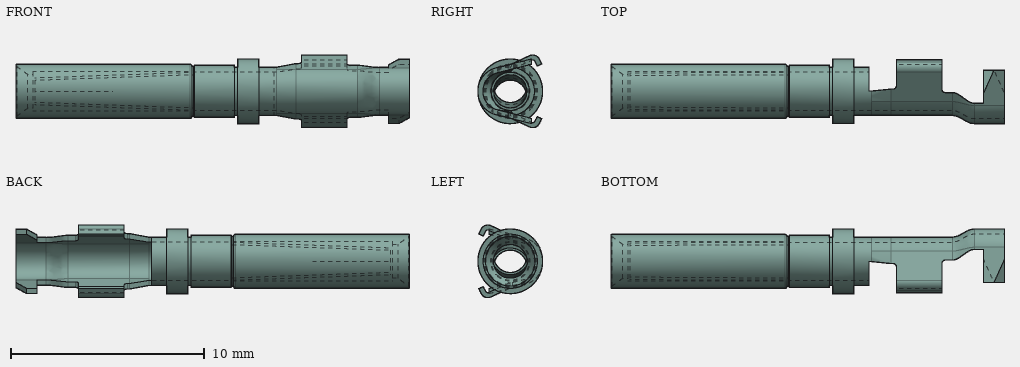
import cadquery as cq
import math

length = 20.3
sheet = 0.26

sleeve_radius = 2.8 / 2
sleeve_end = 9.07
sleeve_thickness = 0.12
sleeve_rear_round = 0.1
body_radius = 2.7 / 2
body_start = 9.15
body_chamfer = 0.06
body_end = 11.27
neck_radius = 2.5 / 2
flange_radius = 3.35 / 2
flange_start = 11.43
flange_end = 12.53
neck_end = 13.32

mouth_radius = sleeve_radius - sleeve_thickness
entry_radius = 0.87
entry_start = 0.6
entry_end = 0.87
cavity_radius = 1.02
tine_outer_radius = 0.97
tine_bore_radius = 0.85
tine_pinch = 0.28
tine_tip = 0.97
tine_root = sleeve_end
wire_bore_web = 0.1
tine_overrun = 0.2

flare_start = 13.44
flare_end = 14.43
wing_start = 14.72
wing_end = 17.07
bend_start = 17.6
bend_end = 18.74
claw_start = 19.2

wire_splay = 25.0
tail_splay = 14.0
tail_drop = flange_radius - neck_radius
flare_low_edge = 0.02
flare_high_edge = 0.12
rear_edge = -0.06
bend_steps = 4
tail_edge = -0.6
wing_root_round = 0.16

hook_start = 1.0
hook_radius = 0.39
hook_turn_end = 63.0
hook_lip = 0.28

claw_tip = 1.1
claw_taper_base = -0.12
claw_tip_width = 0.55


def polar(radius, angle):
    """Offset in (Y, Z) along a direction that leans `angle` degrees from +Z towards -Y."""
    a = math.radians(angle)
    return -radius * math.sin(a), radius * math.cos(a)


def shift(point, move):
    return point[0] + move[0], point[1] + move[1]


def mirror_z(point):
    return point[0], -point[1]


def wall_point(radius, splay, center_y, y):
    """Point at height y on the straight wall tangent to the trough arc."""
    tangent = shift((center_y, 0), polar(radius, splay))
    return y, tangent[1] + (y - tangent[0]) * math.tan(math.radians(splay))


def plane_at(x):
    """Section plane across the part: local axes are Y and Z."""
    return cq.Workplane("YZ", origin=(x, 0, 0))


def trough(workplane, splay, center_y, edge_y):
    """Closed U-shaped wall section: round bottom and two straight leaning walls."""
    inner_radius = neck_radius - sheet
    outer_tangent = shift((center_y, 0), polar(neck_radius, splay))
    inner_tangent = shift((center_y, 0), polar(inner_radius, splay))
    outer_edge = wall_point(neck_radius, splay, center_y, edge_y)
    inner_edge = wall_point(inner_radius, splay, center_y, edge_y)
    return (
        workplane.moveTo(*outer_edge)
        .lineTo(*outer_tangent)
        .threePointArc((center_y - neck_radius, 0), mirror_z(outer_tangent))
        .lineTo(*mirror_z(outer_edge))
        .lineTo(*mirror_z(inner_edge))
        .lineTo(*mirror_z(inner_tangent))
        .threePointArc((center_y - inner_radius, 0), inner_tangent)
        .lineTo(*inner_edge)
        .close()
    )


def round_trough(workplane, seam_angle, edge_y):
    """Part-ring section whose walls keep following the circle above the seams."""
    inner_radius = neck_radius - sheet
    outer_seam = polar(neck_radius, seam_angle)
    inner_seam = polar(inner_radius, seam_angle)
    outer_mid = polar(neck_radius, seam_angle / 2)
    inner_mid = polar(inner_radius, seam_angle / 2)
    outer_edge = edge_y, math.sqrt(neck_radius**2 - edge_y**2)
    inner_edge = edge_y, math.sqrt(inner_radius**2 - edge_y**2)
    return (
        workplane.moveTo(*outer_edge)
        .threePointArc(outer_mid, outer_seam)
        .threePointArc((-neck_radius, 0), mirror_z(outer_seam))
        .threePointArc(mirror_z(outer_mid), mirror_z(outer_edge))
        .lineTo(*mirror_z(inner_edge))
        .threePointArc(mirror_z(inner_mid), mirror_z(inner_seam))
        .threePointArc((-inner_radius, 0), inner_seam)
        .threePointArc(inner_mid, inner_edge)
        .close()
    )


def straight_trough(start, end, splay, center_y, edge_y):
    return trough(plane_at(start), splay, center_y, edge_y).extrude(end - start)


def socket_outside():
    lip_radius = sleeve_thickness / 2
    rear_bend = sleeve_rear_round * (1 - math.sqrt(0.5))
    rim_radius = sleeve_radius - sleeve_rear_round
    profile = (
        cq.Workplane("XY")
        .moveTo(lip_radius, 0)
        .lineTo(lip_radius, mouth_radius)
        .threePointArc((0, mouth_radius + lip_radius), (lip_radius, sleeve_radius))
        .lineTo(sleeve_end - sleeve_rear_round, sleeve_radius)
        .threePointArc((sleeve_end - rear_bend, sleeve_radius - rear_bend), (sleeve_end, rim_radius))
        .lineTo(body_start, body_radius - body_chamfer)
        .lineTo(body_start + body_chamfer, body_radius)
        .lineTo(body_end, body_radius)
        .lineTo(body_end, neck_radius)
        .lineTo(flange_start, neck_radius)
        .lineTo(flange_start, flange_radius)
        .lineTo(flange_end, flange_radius)
        .lineTo(flange_end, neck_radius)
        .lineTo(flare_start, neck_radius)
        .lineTo(flare_start, 0)
        .close()
    )
    return profile.revolve(360, (0, 0, 0), (1, 0, 0))


def entry_funnel():
    funnel_start = sleeve_thickness / 2
    profile = (
        cq.Workplane("XY")
        .moveTo(funnel_start, 0)
        .lineTo(funnel_start, mouth_radius)
        .lineTo(entry_start, entry_radius)
        .lineTo(entry_end, entry_radius)
        .lineTo(entry_end, 0)
        .close()
    )
    return profile.revolve(360, (0, 0, 0), (1, 0, 0))


def tilted_cylinder(radius, side):
    """Cylinder centred at the tine root and shifted in Z at the tine tip."""
    tip = cq.Vector(tine_tip, 0, side * tine_pinch)
    root = cq.Vector(tine_root, 0, 0)
    direction = (root - tip).normalized()
    start = tip - direction * tine_overrun
    height = (root - tip).Length + 2 * tine_overrun
    return cq.Workplane(cq.Solid.makeCylinder(radius, height, start, direction))


def lens_tube(radius):
    """Round at the tine root, pinched to a lens at the tine tips."""
    return tilted_cylinder(radius, 1).intersect(tilted_cylinder(radius, -1))


def socket():
    cavity = plane_at(entry_end).circle(cavity_radius).extrude(tine_root - entry_end)
    tine_reach = tine_root + wire_bore_web - tine_tip
    tine_span = plane_at(tine_tip).circle(cavity_radius).extrude(tine_reach)
    tines = lens_tube(tine_outer_radius).intersect(tine_span)
    wire_bore_start = tine_root + wire_bore_web
    wire_bore = plane_at(wire_bore_start).circle(neck_radius - sheet).extrude(flare_start - wire_bore_start)
    neck_opening = (
        plane_at(neck_end)
        .center(flare_low_edge + neck_radius, 0)
        .rect(2 * neck_radius, 2 * neck_radius)
        .extrude(flare_start - neck_end)
    )
    shell = socket_outside().cut(entry_funnel()).cut(cavity)
    return shell.union(tines).cut(lens_tube(tine_bore_radius)).cut(wire_bore).cut(neck_opening)


def hooked_wing(side):
    """Leaning wall whose top curls back inwards; side is +1 or -1 in Z."""
    outer_foot = wall_point(neck_radius, wire_splay, 0, rear_edge)
    outer_bend = wall_point(neck_radius, wire_splay, 0, hook_start)
    center = shift(outer_bend, polar(-hook_radius, wire_splay))
    mid_turn = (wire_splay - hook_turn_end) / 2
    inner_radius = hook_radius - sheet
    outer_turned = shift(center, polar(hook_radius, -hook_turn_end))
    inner_turned = shift(center, polar(inner_radius, -hook_turn_end))
    lip = polar(hook_lip, -hook_turn_end - 90)
    outline = (
        plane_at(wing_start)
        .moveTo(*outer_foot)
        .lineTo(*outer_bend)
        .threePointArc(shift(center, polar(hook_radius, mid_turn)), outer_turned)
        .lineTo(*shift(outer_turned, lip))
        .lineTo(*shift(inner_turned, lip))
        .lineTo(*inner_turned)
        .threePointArc(
            shift(center, polar(inner_radius, mid_turn)),
            shift(center, polar(inner_radius, wire_splay)),
        )
        .lineTo(*shift(outer_foot, polar(-sheet, wire_splay)))
        .close()
    )
    wing = outline.extrude(wing_end - wing_start)
    return wing if side > 0 else wing.mirror("XY")


def root_trim():
    """Space above the low wall edges, rounded where the wings rise."""
    r = wing_root_round
    bend = r * (1 - math.sqrt(0.5))
    return (
        cq.Workplane("XY")
        .moveTo(flare_end, hook_start)
        .lineTo(flare_end, flare_high_edge)
        .lineTo(wing_start - r, flare_high_edge)
        .threePointArc((wing_start - bend, flare_high_edge + bend), (wing_start, flare_high_edge + r))
        .lineTo(wing_start, hook_start)
        .close()
        .moveTo(bend_start, hook_start)
        .lineTo(bend_start, rear_edge)
        .lineTo(wing_end + r, rear_edge)
        .threePointArc((wing_end + bend, rear_edge + bend), (wing_end, rear_edge + r))
        .lineTo(wing_end, hook_start)
        .close()
        .extrude(2 * length, both=True)
    )


def wire_barrel():
    flare = round_trough(plane_at(flare_start), wire_splay, flare_low_edge)
    flare = flare.workplane(offset=flare_end - flare_start)
    flare = trough(flare, wire_splay, 0, flare_high_edge).loft(ruled=True)
    root_top = flare_high_edge + wing_root_round
    barrel = straight_trough(flare_end, bend_start, wire_splay, 0, root_top).cut(root_trim())
    for side in (1, -1):
        barrel = barrel.union(hooked_wing(side))
    return barrel.union(flare, clean=False)


def claw_trims():
    """Tapers of the two claws: front edge at +Z, rear edge at -Z."""
    front = [
        (claw_start, claw_taper_base),
        (length - claw_tip_width, claw_tip),
        (claw_start, claw_tip),
    ]
    rear = [
        (length, claw_taper_base),
        (claw_start + claw_tip_width, claw_tip),
        (length, claw_tip),
    ]
    upper = cq.Workplane("XY").polyline(front).close().extrude(length)
    lower = cq.Workplane("XY").polyline(rear).close().extrude(-length)
    return upper.union(lower)


def offset_bend():
    """Smooth S-shaped step from the wire barrel down to the tail."""
    sections = plane_at(bend_start)
    step = (bend_end - bend_start) / bend_steps
    for i in range(bend_steps + 1):
        blend = (1 - math.cos(math.pi * i / bend_steps)) / 2
        splay = wire_splay + blend * (tail_splay - wire_splay)
        edge_y = rear_edge + blend * (tail_edge - rear_edge)
        if i > 0:
            sections = sections.workplane(offset=step)
        sections = trough(sections, splay, -blend * tail_drop, edge_y)
    return sections.loft()


def tail():
    bend = offset_bend()
    base = straight_trough(bend_end, claw_start, tail_splay, -tail_drop, tail_edge)
    claws = straight_trough(claw_start, length, tail_splay, -tail_drop, claw_tip).cut(claw_trims())
    return bend.union(base).union(claws)


result = socket().union(wire_barrel(), clean=False).union(tail(), clean=False)